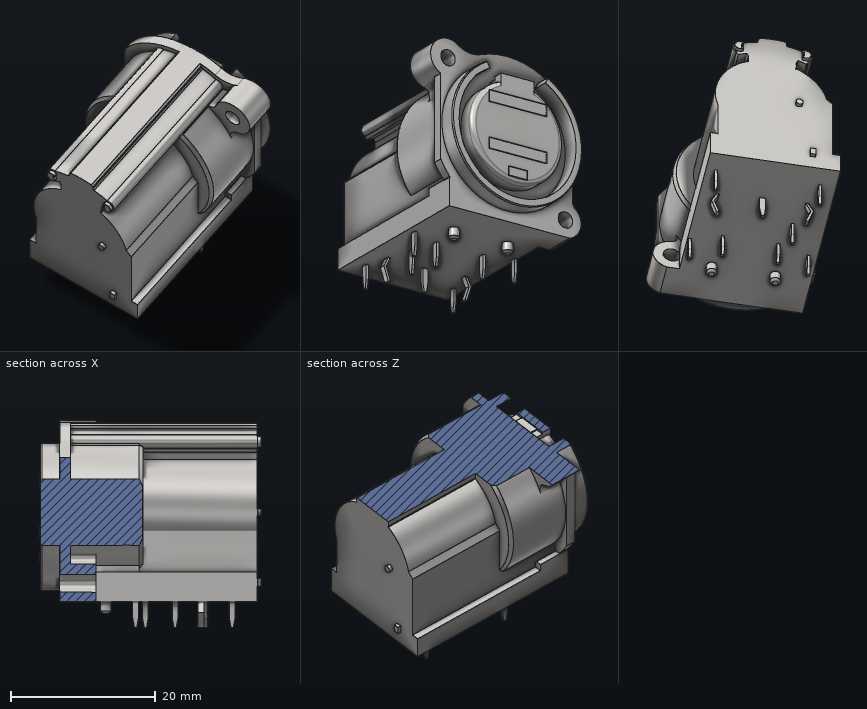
import cadquery as cq
import math


TOTAL_LENGTH = 30.8
TOTAL_HEIGHT = 28.8

NUB_DEPTH = 0.52
BARREL_REAR = 15.9
LUG_REAR = 22.38
FLANGE_REAR = 25.93
FLANGE_FRONT = 27.43
SHELL_FRONT = 30.1
MARK_FRONT = TOTAL_LENGTH - NUB_DEPTH

BARREL_RADIUS = 10.9
BARREL_CHAMFER_LENGTH = 0.52
BARREL_CHAMFER_DEPTH = 0.4
SHELL_WALL = 1.08
SHELL_CHAMFER_LENGTH = 0.25
SHELL_CHAMFER_DEPTH = 0.12
NOTCH_HALF_ANGLE = 28.4
NOSE_RADIUS = 7.7
NOSE_FILLET = 0.7
MARK_HALF_WIDTH = 4.8
LOWEST_MARK_HALF_WIDTH = 1.55
NOSE_MARKS = [
    (MARK_HALF_WIDTH, 3.55, 5.3),
    (MARK_HALF_WIDTH, -3.55, -1.88),
    (LOWEST_MARK_HALF_WIDTH, -6.85, -5.45),
]

LATCH_WIDTH = 5.55
LATCH_REAR = 28.65
LATCH_TOP = 8.3
LATCH_NECK_WIDTH = 3.2
LATCH_NECK_TOP = 8.0
LATCH_FOOT_TOP = 7.82

FLANGE_RADIUS = 12.47
FLANGE_HALF_WIDTH = 11.08
LUG_OFFSET = 9.85
LUG_HOLE_DIAMETER = 2.4
UPPER_LUG_RADIUS = 2.93
LOWER_LUG_RADIUS = 2.68
UPPER_LUG_FILLET = 1.35
LOWER_LUG_FILLET = 0.92
FLANGE_BLEND_RADIUS = 3.95
FLANGE_STEP_TOP = -7.08
FLANGE_STEP_OUT = 0.37
FLANGE_STEP_DROP = 0.68

BASE_BOTTOM = -12.45
BASE_LEFT = -8.78
BASE_RIGHT = 9.65
BASE_LEFT_TOP = -8.3
BASE_RIGHT_TOP = -9.18
SUPPORT_LEFT = -8.0
SUPPORT_TOP = -7.4
SHOULDER_TOP = -8.07
SHOULDER_CHAMFER = 0.25

BODY_RADIUS = 8.07
BODY_RIGHT_RADIUS = 7.9
BODY_LEFT = -7.67
BODY_RIGHT = 8.55
BODY_RIGHT_SHOULDER = 1.02
BODY_RIGHT_ARC_END = 7.7
NECK_HALF_WIDTH = 3.4
NECK_CORNER_TOP = 8.3
NECK_NOTCH = (3.63, 8.87)
NECK_LIP = (4.8, 8.37)
RAIL_FOOT = (5.1, 8.8)
SADDLE_RADIUS = 11.65
RIDGE_HALF_WIDTH = 2.0
RIDGE_BEVEL_WIDTH = 0.25
RIDGE_BEVEL_BOTTOM = 12.0
RIDGE_FOOT = 0.22
RAIL_X = 4.65
RAIL_Z = 9.8
RAIL_RADIUS = 1.0
RAIL_WEB_OUT = 5.7
RAIL_WEB_TOP = 9.58

RAIL_NUB_DIAMETER = 1.5
RAIL_NUB_FLAT = 0.5
RAIL_NUB_SLOT_BOTTOM = 0.25
RAIL_NUB_SLOT_WIDTH = 0.62
ROUND_NUB_DIAMETER = 1.0
ROUND_NUB_X = 3.75
SQUARE_NUB_WIDTH = 0.77
SQUARE_NUB_HEIGHT = 1.1
SQUARE_NUB_X = 5.7
SQUARE_NUB_Z = -9.7

PEG_DIAMETER = 1.5
PEG_LENGTH = 1.6
PEG_CHAMFER = 0.35
PEG_X = 4.5
PEG_Y = 21.05
PIN_LENGTH = TOTAL_HEIGHT - (LUG_OFFSET + UPPER_LUG_RADIUS) + BASE_BOTTOM
PIN_WIDTH = 0.85
PIN_THICKNESS = 0.4
PIN_TIP_WIDTH = 0.37
PIN_TIP_LENGTH = 1.4
STRAIGHT_PINS = [
    (-8.45, 16.9), (-7.35, 3.5), (-4.03, 15.55), (3.8, 15.55),
    (5.02, 11.42), (7.35, 3.5), (8.35, 16.9),
]
GROUND_PIN_Y = 7.25
KINK_ROOT_X = 6.25
KINK_OUT = 0.7
KINKED_PINS = {-1: 7.88, 1: 7.3}
KINK_FRACTION = 0.4
PIN_ROOT = 0.3


def plane_at(front):
    """X-Z sketch plane at Y = front; extrusions run from it toward the rear."""
    return cq.Workplane("XZ", origin=(0, front, 0))


def cylinder(radius, rear, front, x=0, z=0):
    return plane_at(front).center(x, z).circle(radius).extrude(front - rear)


def block(left, right, bottom, top, rear, front):
    size = (right - left, front - rear, top - bottom)
    return cq.Workplane("XY").box(*size, centered=False).translate((left, rear, bottom))


def half_chord(radius, offset):
    """Half length of the chord that lies at the given distance from the circle centre."""
    return math.sqrt(radius**2 - offset**2)


def blend(main_radius, lug_sign, lug_radius, fillet, side, rear, front):
    """Web that joins a lug to a circle about the axis through a concave fillet.

    side = 1 is the counter-clockwise flank of the lug, -1 the clockwise one.
    """
    lug_x = lug_z = lug_sign * LUG_OFFSET
    distance = math.hypot(lug_x, lug_z)
    to_main = main_radius + fillet
    to_lug = lug_radius + fillet
    turn = math.acos((distance**2 + to_main**2 - to_lug**2) / (2 * distance * to_main))
    angle = math.atan2(lug_z, lug_x) + side * turn
    fillet_x = to_main * math.cos(angle)
    fillet_z = to_main * math.sin(angle)
    start_angle = math.atan2(-fillet_z, -fillet_x)
    end_angle = math.atan2(lug_z - fillet_z, lug_x - fillet_x)
    sweep = math.remainder(end_angle - start_angle, 2 * math.pi)

    def on_fillet(fraction):
        around = start_angle + fraction * sweep
        return fillet_x + fillet * math.cos(around), fillet_z + fillet * math.sin(around)

    return (
        plane_at(front).moveTo(0, 0).lineTo(*on_fillet(0))
        .threePointArc(on_fillet(0.5), on_fillet(1))
        .lineTo(lug_x, lug_z).close().extrude(front - rear)
    )


def make_barrel():
    outer = BARREL_RADIUS
    tapered = outer - BARREL_CHAMFER_DEPTH
    return (
        cq.Workplane("XY")
        .moveTo(0, BARREL_REAR).lineTo(tapered, BARREL_REAR)
        .lineTo(outer, BARREL_REAR + BARREL_CHAMFER_LENGTH)
        .lineTo(outer, FLANGE_REAR).lineTo(0, FLANGE_REAR).close()
        .revolve(360, (0, 0, 0), (0, 1, 0))
    )


def make_shell():
    """Mating ring with a notch at the top whose walls are radial."""
    inner = BARREL_RADIUS - SHELL_WALL
    ring = (
        cq.Workplane("XY")
        .moveTo(inner, FLANGE_FRONT).lineTo(BARREL_RADIUS, FLANGE_FRONT)
        .lineTo(BARREL_RADIUS, SHELL_FRONT - SHELL_CHAMFER_LENGTH)
        .lineTo(BARREL_RADIUS - SHELL_CHAMFER_DEPTH, SHELL_FRONT)
        .lineTo(inner, SHELL_FRONT).close()
        .revolve(360, (0, 0, 0), (0, 1, 0))
    )
    reach = 2 * BARREL_RADIUS
    spread = reach * math.tan(math.radians(NOTCH_HALF_ANGLE))
    notch = (
        plane_at(SHELL_FRONT).polyline([(0, 0), (spread, reach), (-spread, reach)]).close()
        .extrude(SHELL_FRONT - FLANGE_FRONT)
    )
    return ring.cut(notch)


def make_nose():
    nose = cylinder(NOSE_RADIUS, FLANGE_FRONT, SHELL_FRONT).faces(">Y").edges().fillet(NOSE_FILLET)
    for half, bottom, top in NOSE_MARKS:
        nose = nose.union(block(-half, half, bottom, top, SHELL_FRONT - NOSE_FILLET, MARK_FRONT))
    return nose


def make_latch():
    half = LATCH_WIDTH / 2
    neck = LATCH_NECK_WIDTH / 2
    head = block(-half, half, 0, LATCH_TOP, LATCH_REAR, SHELL_FRONT)
    foot = block(-half, half, 0, LATCH_FOOT_TOP, FLANGE_FRONT, LATCH_REAR)
    return head.union(foot).union(block(-neck, neck, 0, LATCH_NECK_TOP, FLANGE_FRONT, LATCH_REAR))


def make_flange():
    rear, front = FLANGE_REAR, FLANGE_FRONT
    half = FLANGE_HALF_WIDTH
    disc = cylinder(FLANGE_RADIUS, rear, front)
    disc = disc.intersect(block(-half, half, BASE_BOTTOM, FLANGE_RADIUS, rear, front))
    step_bottom = FLANGE_STEP_TOP - FLANGE_STEP_DROP
    left_edge = (
        plane_at(front).moveTo(0, 0).lineTo(-half, 0).lineTo(-half, FLANGE_STEP_TOP)
        .lineTo(-half - FLANGE_STEP_OUT, step_bottom).lineTo(0, step_bottom).close()
        .extrude(front - rear)
    )
    foot = block(-LUG_OFFSET + LUG_HOLE_DIAMETER / 2, BASE_RIGHT, BASE_BOTTOM, SHOULDER_TOP, rear, front)
    right_edge = block(0, half, 0, LUG_OFFSET, rear, front)
    upper = blend(FLANGE_RADIUS, 1, UPPER_LUG_RADIUS, FLANGE_BLEND_RADIUS, 1, rear, front)
    return disc.union(left_edge).union(foot).union(right_edge).union(upper)


def make_lugs():
    rear, front = LUG_REAR, FLANGE_FRONT
    upper = cylinder(UPPER_LUG_RADIUS, rear, front, LUG_OFFSET, LUG_OFFSET)
    for side in (1, -1):
        upper = upper.union(blend(BARREL_RADIUS, 1, UPPER_LUG_RADIUS, UPPER_LUG_FILLET, side, rear, front))
    lower = cylinder(LOWER_LUG_RADIUS, rear, front, -LUG_OFFSET, -LUG_OFFSET)
    lower = lower.union(blend(BARREL_RADIUS, -1, LOWER_LUG_RADIUS, LOWER_LUG_FILLET, -1, rear, front))
    lower = lower.union(block(-LUG_OFFSET, SUPPORT_LEFT, BASE_BOTTOM, SUPPORT_TOP, rear, front))
    below = block(-2 * LUG_OFFSET, 0, 2 * BASE_BOTTOM, BASE_BOTTOM, rear, front)
    return upper.union(lower.cut(below))


def make_lug_holes():
    holes = cq.Workplane("XY")
    for offset in (LUG_OFFSET, -LUG_OFFSET):
        holes = holes.union(cylinder(LUG_HOLE_DIAMETER / 2, LUG_REAR, FLANGE_FRONT, offset, offset))
    return holes


def make_body():
    """Rear body: keyhole outline with a ridge on top and a step onto the base."""
    shoulder_z = half_chord(BODY_RIGHT_RADIUS, BODY_RIGHT_ARC_END)
    left_z = -half_chord(BODY_RADIUS, BODY_LEFT)
    neck_z = half_chord(BODY_RADIUS, NECK_HALF_WIDTH)
    right_neck_z = half_chord(BODY_RIGHT_RADIUS, NECK_HALF_WIDTH)
    middle = BODY_RIGHT_RADIUS / math.sqrt(2)
    lower = (
        plane_at(FLANGE_REAR)
        .moveTo(BASE_LEFT, BASE_BOTTOM).lineTo(BASE_RIGHT, BASE_BOTTOM)
        .lineTo(BASE_RIGHT, BASE_RIGHT_TOP).lineTo(BODY_RIGHT, BASE_RIGHT_TOP)
        .lineTo(BODY_RIGHT, BODY_RIGHT_SHOULDER).lineTo(BODY_RIGHT_ARC_END, shoulder_z)
        .threePointArc((middle, middle), (NECK_HALF_WIDTH, right_neck_z))
        .lineTo(-NECK_HALF_WIDTH, neck_z)
        .threePointArc((-BODY_RADIUS, 0), (BODY_LEFT, left_z))
        .lineTo(BODY_LEFT, BASE_LEFT_TOP).lineTo(BASE_LEFT, BASE_LEFT_TOP).close()
        .extrude(FLANGE_REAR)
    )
    beside_lug = block(BASE_LEFT, SUPPORT_LEFT, BASE_BOTTOM, BASE_LEFT_TOP, LUG_REAR, FLANGE_REAR)
    return lower.cut(beside_lug).union(make_crown())


def make_crown():
    """Neck that carries the ridge and the two rails above the keyhole body.

    The right half is drawn from the neck foot up to the ridge and then mirrored.
    """
    saddle_outer = (RAIL_X, half_chord(SADDLE_RADIUS, RAIL_X))
    saddle_inner_x = RIDGE_HALF_WIDTH + RIDGE_FOOT
    saddle_inner = (saddle_inner_x, half_chord(SADDLE_RADIUS, saddle_inner_x))
    saddle_middle_x = (RAIL_X + saddle_inner_x) / 2
    saddle_middle = (saddle_middle_x, half_chord(SADDLE_RADIUS, saddle_middle_x))
    ridge_foot = (RIDGE_HALF_WIDTH, saddle_inner[1] + RIDGE_FOOT)
    ridge_shoulder = (RIDGE_HALF_WIDTH, RIDGE_BEVEL_BOTTOM)
    ridge_edge_x = RIDGE_HALF_WIDTH - RIDGE_BEVEL_WIDTH
    ridge_edge = (ridge_edge_x, half_chord(FLANGE_RADIUS, ridge_edge_x))
    ridge_middle = (ridge_edge_x / 2, half_chord(FLANGE_RADIUS, ridge_edge_x / 2))
    half = (
        plane_at(FLANGE_REAR).moveTo(0, 0)
        .lineTo(NECK_HALF_WIDTH, half_chord(BODY_RADIUS, NECK_HALF_WIDTH))
        .lineTo(NECK_HALF_WIDTH, NECK_CORNER_TOP).lineTo(*NECK_NOTCH)
        .lineTo(*NECK_LIP).lineTo(*RAIL_FOOT).lineTo(RAIL_X, RAIL_Z)
        .lineTo(*saddle_outer).threePointArc(saddle_middle, saddle_inner)
        .lineTo(*ridge_foot).lineTo(*ridge_shoulder).lineTo(*ridge_edge)
        .threePointArc(ridge_middle, (0, FLANGE_RADIUS))
        .close().extrude(FLANGE_REAR)
    )
    half = half.union(cylinder(RAIL_RADIUS, 0, FLANGE_REAR, RAIL_X, RAIL_Z))
    web_rear = BARREL_REAR + BARREL_CHAMFER_LENGTH
    half = half.union(block(RAIL_X, RAIL_WEB_OUT, RAIL_Z - RAIL_RADIUS, RAIL_WEB_TOP, web_rear, FLANGE_REAR))
    return half.union(half.mirror("YZ"))


def make_barrel_support():
    """Block between barrel and base, and the wider shoulder next to the flange."""
    rear = BARREL_REAR + BARREL_CHAMFER_LENGTH
    support = block(SUPPORT_LEFT, BODY_LEFT, BASE_BOTTOM, SUPPORT_TOP, rear, FLANGE_REAR)
    shoulder = (
        plane_at(FLANGE_REAR)
        .moveTo(0, BASE_BOTTOM).lineTo(BASE_RIGHT, BASE_BOTTOM).lineTo(BASE_RIGHT, SHOULDER_TOP)
        .lineTo(BODY_RIGHT + SHOULDER_CHAMFER, SHOULDER_TOP)
        .lineTo(BODY_RIGHT, SHOULDER_TOP - SHOULDER_CHAMFER).lineTo(0, SHOULDER_TOP - SHOULDER_CHAMFER)
        .close().extrude(FLANGE_REAR - LUG_REAR)
    )
    return support.union(shoulder)


def make_rear_nubs():
    rear = -NUB_DEPTH
    radius = RAIL_NUB_DIAMETER / 2
    slot_half = RAIL_NUB_SLOT_WIDTH / 2
    rail_nub = cylinder(radius, rear, 0, RAIL_X, RAIL_Z)
    flat_x = RAIL_X - RAIL_NUB_FLAT
    slot_x = RAIL_X - RAIL_NUB_SLOT_BOTTOM
    rail_nub = rail_nub.cut(block(0, flat_x, RAIL_Z - radius, RAIL_Z + radius, rear, 0))
    rail_nub = rail_nub.cut(block(0, slot_x, RAIL_Z - slot_half, RAIL_Z + slot_half, rear, 0))
    square_nub = block(
        SQUARE_NUB_X - SQUARE_NUB_WIDTH / 2, SQUARE_NUB_X + SQUARE_NUB_WIDTH / 2,
        SQUARE_NUB_Z - SQUARE_NUB_HEIGHT / 2, SQUARE_NUB_Z + SQUARE_NUB_HEIGHT / 2, rear, 0,
    )
    round_nub = cylinder(ROUND_NUB_DIAMETER / 2, rear, 0, ROUND_NUB_X)
    return rail_nub.union(rail_nub.mirror("YZ")).union(square_nub).union(round_nub)


def make_peg(x):
    peg = cq.Workplane("XY").circle(PEG_DIAMETER / 2).extrude(-PEG_LENGTH)
    return peg.faces("<Z").chamfer(PEG_CHAMFER).translate((x, PEG_Y, BASE_BOTTOM))


def make_straight_pin():
    """Flat pin with a tapered tip, wide along X, hanging from Z = 0."""
    half = PIN_WIDTH / 2
    tip = PIN_TIP_WIDTH / 2
    taper_z = PIN_TIP_LENGTH - PIN_LENGTH
    return (
        plane_at(PIN_THICKNESS / 2)
        .polyline([
            (-half, PIN_ROOT), (half, PIN_ROOT), (half, taper_z), (tip, -PIN_LENGTH),
            (-tip, -PIN_LENGTH), (-half, taper_z),
        ]).close().extrude(PIN_THICKNESS)
    )


def make_kinked_pin(side):
    """Snap-in pin that bends away from the middle halfway down and back again."""
    half = PIN_THICKNESS / 2
    kink_z = -KINK_FRACTION * PIN_LENGTH
    centre = [
        (KINK_ROOT_X, PIN_ROOT), (KINK_ROOT_X, 0),
        (KINK_ROOT_X + KINK_OUT, kink_z), (KINK_ROOT_X, -PIN_LENGTH),
    ]
    inner = [(side * (x - half), z) for x, z in centre]
    outer = [(side * (x + half), z) for x, z in reversed(centre)]
    return plane_at(PIN_WIDTH / 2).polyline(inner + outer).close().extrude(PIN_WIDTH)


def make_pins():
    straight = make_straight_pin()
    turned = straight.rotate((0, 0, 0), (0, 0, 1), 90)
    pins = straight.translate((0, GROUND_PIN_Y, BASE_BOTTOM))
    for x, y in STRAIGHT_PINS:
        pins = pins.union(turned.translate((x, y, BASE_BOTTOM)))
    for side, y in KINKED_PINS.items():
        pins = pins.union(make_kinked_pin(side).translate((0, y, BASE_BOTTOM)))
    return pins


front_half = make_barrel().union(make_flange()).union(make_lugs()).cut(make_lug_holes())
result = front_half.union(make_body()).union(make_barrel_support())
result = result.union(make_shell()).union(make_nose()).union(make_latch())
result = result.union(make_rear_nubs())
for peg_x in (-PEG_X, PEG_X):
    result = result.union(make_peg(peg_x))
result = result.union(make_pins())